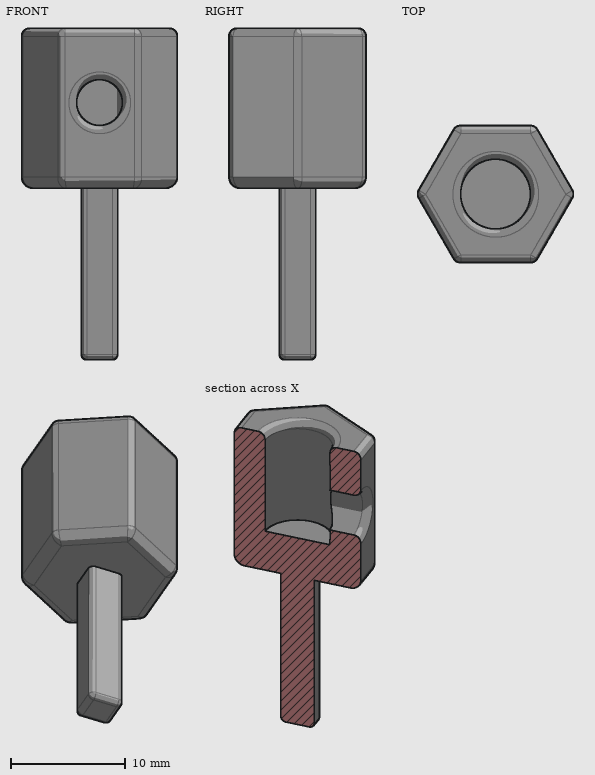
import cadquery as cq
import math

HEAD_ACROSS_FLATS = 12.0
HEAD_ACROSS_CORNERS = HEAD_ACROSS_FLATS / math.cos(math.pi / 6)
HEAD_HEIGHT = 14.0
HEAD_EDGE_RADIUS = 0.7
HEAD_BOTTOM_RADIUS = 1.0

SHANK_WIDTH = 3.2
SHANK_LENGTH = 15.0
SHANK_EDGE_RADIUS = 0.5

BORE_DIAMETER = 6.1
BORE_DEPTH = 10.0
CROSS_HOLE_DIAMETER = 4.0
CROSS_HOLE_HEIGHT = 7.5
HOLE_RIM_RADIUS = 0.7


def make_head():
    """Hexagonal prism with two flats square to Y and every edge rounded."""
    head = (
        cq.Workplane("XY")
        .polygon(6, HEAD_ACROSS_CORNERS)
        .extrude(HEAD_HEIGHT)
    )
    head = head.edges("|Z").fillet(HEAD_EDGE_RADIUS)
    head = head.faces(">Z").edges().fillet(HEAD_EDGE_RADIUS)
    return head.faces("<Z").edges().fillet(HEAD_BOTTOM_RADIUS)


def make_shank():
    """Square bar with rounded long edges and a rounded free end."""
    shank = (
        cq.Workplane("XY")
        .rect(SHANK_WIDTH, SHANK_WIDTH)
        .extrude(-SHANK_LENGTH)
    )
    return shank.edges("|Z or <Z").fillet(SHANK_EDGE_RADIUS)


def flared_hole(diameter, depth, rim_radius):
    """Cutter for a hole running down from Z = 0 whose mouth opens in a rounded flare."""
    radius = diameter / 2
    mouth_radius = radius + rim_radius
    return (
        cq.Workplane("XZ")
        .moveTo(0, 0)
        .lineTo(mouth_radius, 0)
        .radiusArc((radius, -rim_radius), -rim_radius)
        .lineTo(radius, -depth)
        .lineTo(0, -depth)
        .close()
        .revolve(360, (0, 0), (0, 1))
    )


bore = flared_hole(BORE_DIAMETER, BORE_DEPTH, HOLE_RIM_RADIUS).translate((0, 0, HEAD_HEIGHT))

cross_hole = (
    flared_hole(CROSS_HOLE_DIAMETER, HEAD_ACROSS_FLATS / 2, HOLE_RIM_RADIUS)
    .rotate((0, 0, 0), (1, 0, 0), 90)
    .translate((0, -HEAD_ACROSS_FLATS / 2, CROSS_HOLE_HEIGHT))
)

result = make_head().union(make_shank()).cut(bore).cut(cross_hole)